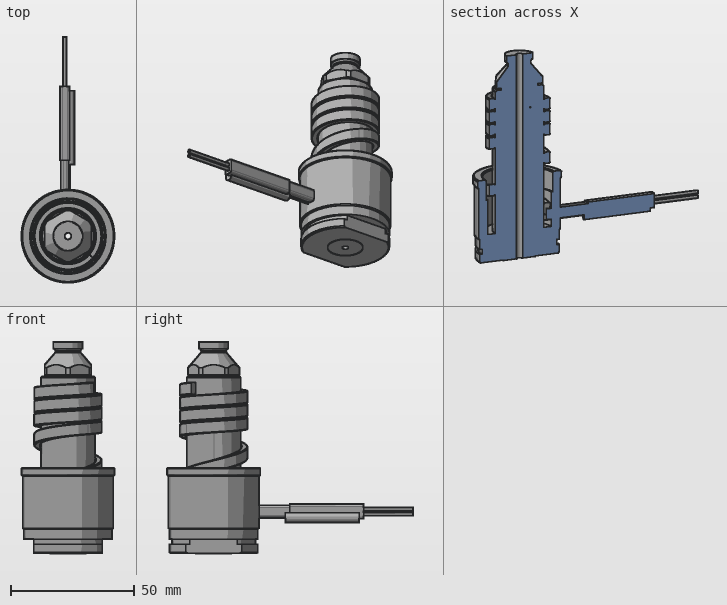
import math

import cadquery as cq

total_height = 86.2
total_length = 100.0
bore_radius = 1.3

nub_radius = 7.2
nub_height = 0.2
base_radius = 18.0
base_chamfer = 0.5
flats_width = 28.0
relief_radius = 17.0
relief_bottom = 4.0
relief_top = 6.0

cup_radius = 18.5
cup_bottom = 10.5
cup_top = 35.1
flange_radius = 19.0
flange_height = 3.1
flange_lip_height = 0.4
flange_lip_taper = 0.1
edge_chamfer = 0.5
well_radius = 15.0
well_floor = 12.0
ledge_radius = 14.3
ledge_z = 26.5

tube_radius = 11.0
tube_top = 72.2
tube_chamfer = 0.6
collar_radius = 8.4
hex_bottom = 72.75
hex_across_flats = 19.0
hex_corner_radius = 10.5
cone_bottom = 75.7
cone_top = 81.7
cone_top_radius = 5.3
neck_radius = 5.1
neck_bottom = 82.2
neck_top = 82.6
tip_radius = 6.0
tip_bottom = 83.45
tip_undercut_radius = 5.7

strip_outer_radius = 13.8
strip_inner_radius = tube_radius - 0.1
strip_height = 4.95
strip_chamfer = 0.35
strip_inner_chamfer = 0.6
close_pitch = 5.4
open_pitch = 21.5
strip_end_z = 67.3
strip_end_angle = -41.0
close_sweep = 3 * 360.0 + 13.0
blend_sweep = 140.0
open_sweep = 436.0
points_per_turn = 24

cable_x = -1.3
cable_z = 17.25
cable_width = 3.3
cable_height = 5.2
cable_start_y = 12.0
sleeve_start_y = 30.9
sleeve_width = 4.0
sleeve_height = 6.1
sleeve_length = 30.0
cable_rounding = 0.95
wire_radius = 0.72
wire_spacing = 2.0
wire_drop = 0.1
wire_end_y = total_length - flange_radius

sensor_x = 0.75
sensor_z = 14.7
sensor_radius = 2.0
sensor_start_y = 29.1
sensor_length = 30.0
lead_radius = 0.25


def disc(radius, bottom, top):
    return cq.Workplane("XY").workplane(offset=bottom).circle(radius).extrude(top - bottom)


def revolved(profile):
    """Revolve an (r, z) outline about the Z axis."""
    return cq.Workplane("XZ").polyline(profile).close().revolve(360, (0, 0, 0), (0, 1, 0))


def make_base():
    base = disc(base_radius, nub_height, relief_bottom).faces("<Z").chamfer(base_chamfer)
    base = base.union(disc(relief_radius, relief_bottom, relief_top))
    flats = cq.Workplane("XY").box(flats_width, 2 * base_radius, relief_top, centered=(True, True, False))
    base = base.intersect(flats)
    return base.union(disc(nub_radius, 0, relief_bottom))


def make_cup():
    flange_bottom = cup_top - flange_height
    lip_radius = flange_radius - flange_lip_taper
    step = lip_radius - cup_radius
    shoulder = cup_radius - base_radius
    well_mouth = well_radius + edge_chamfer
    return revolved([
        (0, relief_top),
        (base_radius, relief_top),
        (base_radius, cup_bottom - shoulder),
        (cup_radius, cup_bottom),
        (cup_radius, flange_bottom - step),
        (lip_radius, flange_bottom),
        (flange_radius, flange_bottom + flange_lip_height),
        (flange_radius, cup_top - edge_chamfer),
        (flange_radius - edge_chamfer, cup_top),
        (well_mouth, cup_top),
        (well_radius, cup_top - edge_chamfer),
        (well_radius, ledge_z),
        (ledge_radius, ledge_z),
        (ledge_radius, well_floor),
        (0, well_floor),
    ])


def make_nozzle():
    tube = disc(tube_radius, well_floor, tube_top).faces(">Z").chamfer(tube_chamfer)
    collar = disc(collar_radius, tube_top, hex_bottom)
    head = revolved([
        (0, hex_bottom),
        (hex_corner_radius, hex_bottom),
        (hex_corner_radius, cone_bottom),
        (cone_top_radius, cone_top),
        (neck_radius, neck_bottom),
        (neck_radius, neck_top),
        (tip_undercut_radius, tip_bottom),
        (0, tip_bottom),
    ])
    hexagon = (
        cq.Workplane("XY")
        .workplane(offset=hex_bottom)
        .polygon(6, hex_across_flats, circumscribed=True)
        .extrude(tip_bottom - hex_bottom)
    )
    tip = disc(tip_radius, tip_bottom, total_height)
    return tube.union(collar).union(head.intersect(hexagon)).union(tip)


def strip_drop(turned):
    """Height lost after turning clockwise by an angle in degrees from the upper end."""
    blend = min(max(turned - close_sweep, 0), blend_sweep)
    blended = (open_pitch - close_pitch) * blend**2 / (2 * blend_sweep)
    opened = (open_pitch - close_pitch) * max(turned - close_sweep - blend_sweep, 0)
    return (close_pitch * turned + blended + opened) / 360


def strip_point(radius, height, turned):
    angle = math.radians(strip_end_angle - turned)
    z = strip_end_z - strip_drop(turned) + height
    return cq.Vector(radius * math.cos(angle), radius * math.sin(angle), z)


def strip_edge(radius, height, start, sweep):
    steps = math.ceil(points_per_turn * sweep / 360)
    turns = [start + sweep * i / steps for i in range(steps + 1)]
    return cq.Edge.makeSpline([strip_point(radius, height, turned) for turned in turns])


def make_strip():
    """Band of chamfered rectangular section wound round the tube: close, blended and open stretches."""
    half = strip_height / 2
    shoulder = strip_outer_radius - strip_chamfer
    inner_shoulder = strip_inner_radius + strip_inner_chamfer
    section = [
        (strip_inner_radius, strip_inner_chamfer - half),
        (inner_shoulder, -half),
        (shoulder, -half),
        (strip_outer_radius, strip_chamfer - half),
        (strip_outer_radius, half - strip_chamfer),
        (shoulder, half),
        (inner_shoulder, half),
        (strip_inner_radius, half - strip_inner_chamfer),
    ]
    faces = []
    start = 0
    for sweep in (close_sweep, blend_sweep, open_sweep):
        edges = [strip_edge(radius, height, start, sweep) for radius, height in section]
        for i, edge in enumerate(edges):
            faces.append(cq.Face.makeRuledSurface(edges[i - 1], edge))
        start += sweep
    for turned in (0, start):
        corners = [strip_point(radius, height, turned) for radius, height in section]
        faces.append(cq.Face.makeFromWires(cq.Wire.makePolygon(corners, close=True)))
    return cq.Workplane(cq.Solid.makeSolid(cq.Shell.makeShell(faces)))


def rod(x, z, radius, start_y, end_y):
    plane = cq.Plane(origin=(x, start_y, z), xDir=(1, 0, 0), normal=(0, 1, 0))
    return cq.Workplane(plane).circle(radius).extrude(end_y - start_y)


def rounded_bar(width, height, start_y, end_y):
    plane = cq.Plane(origin=(cable_x, start_y, cable_z), xDir=(1, 0, 0), normal=(0, 1, 0))
    bar = cq.Workplane(plane).rect(width, height).extrude(end_y - start_y)
    return bar.edges("|Y").fillet(cable_rounding)


def make_cable():
    sleeve_end_y = sleeve_start_y + sleeve_length
    cable = rounded_bar(cable_width, cable_height, cable_start_y, sleeve_end_y)
    cable = cable.union(rounded_bar(sleeve_width, sleeve_height, sleeve_start_y, sleeve_end_y))
    for side in (-1, 1):
        wire_z = cable_z - wire_drop + side * wire_spacing / 2
        cable = cable.union(rod(cable_x, wire_z, wire_radius, sleeve_start_y, wire_end_y))
    return cable


def make_sensor():
    lead = rod(sensor_x, sensor_z, lead_radius, well_radius, sensor_start_y + sensor_length)
    return lead.union(rod(sensor_x, sensor_z, sensor_radius, sensor_start_y, sensor_start_y + sensor_length))


result = (
    make_base()
    .union(make_cup())
    .union(make_nozzle())
    .union(make_strip())
    .union(make_cable())
    .union(make_sensor())
    .cut(disc(bore_radius, 0, total_height))
)